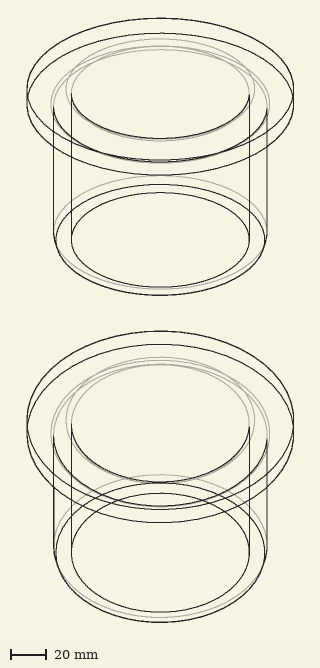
import cadquery as cq
import math

total_height = 100.0
bore_diameter = 100.0
sleeve_diameter = 120.0
flange_diameter = 150.0
flange_thickness = 10.0

bore_rim_radius = 3.0
neck_fillet_radius = 1.5

lead_in_height = 5.0
lead_in_angle = 15.0

bore_radius = bore_diameter / 2
sleeve_radius = sleeve_diameter / 2
flange_radius = flange_diameter / 2
flange_underside = total_height - flange_thickness
lead_in_depth = lead_in_height * math.tan(math.radians(lead_in_angle))


def bush_profile():
    """Half section in the XZ plane: radius along local x, height along local y."""
    return (
        cq.Workplane("XZ")
        .moveTo(bore_radius, 0)
        .lineTo(sleeve_radius - lead_in_depth, 0)
        .lineTo(sleeve_radius, lead_in_height)
        .lineTo(sleeve_radius, flange_underside - neck_fillet_radius)
        .radiusArc((sleeve_radius + neck_fillet_radius, flange_underside), neck_fillet_radius)
        .lineTo(flange_radius, flange_underside)
        .lineTo(flange_radius, total_height)
        .lineTo(bore_radius + bore_rim_radius, total_height)
        .radiusArc((bore_radius, total_height - bore_rim_radius), -bore_rim_radius)
        .close()
    )


result = bush_profile().revolve(360, (0, 0), (0, 1))